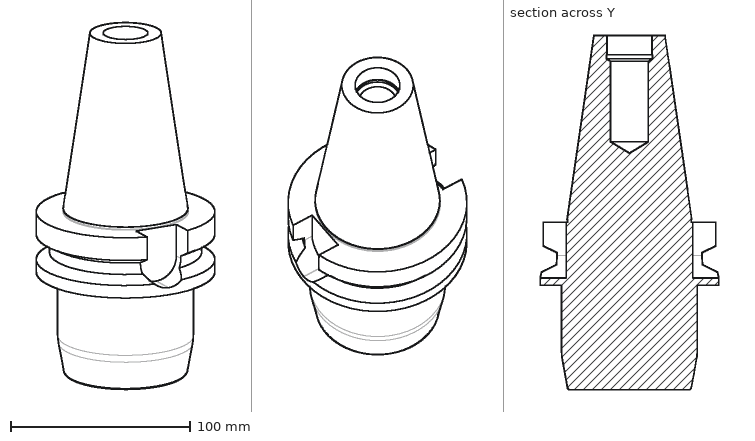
import cadquery as cq
import math

total_length = 197.8
flange_diameter = 99.9

body_diameter = 76.0
nose_diameter = 69.2
nose_chamfer = 0.8
nose_cone_end_z = 17.2
nose_cone_end_radius = 37.5
body_start_z = 21.4

flange_bottom_z = 58.4
lower_rim_top_z = 65.7
groove_floor_bottom_z = 69.8
groove_floor_top_z = 76.5
upper_rim_bottom_z = 80.3
flange_top_z = 93.5
groove_diameter = 85.0

neck_diameter = 69.5
neck_fillet = 0.4
taper_bottom_z = 95.1
taper_bottom_diameter = 69.8
taper_ratio = 7 / 24

slot_width = 25.7
slot_corner_radius = 12.75
slot_bottom_z = 62.5
slot_floor_x = 35.5

counterbore_diameter = 25.0
counterbore_depth = 10.9
undercut_diameter = 25.5
undercut_depth = 13.0
hole_diameter = 21.0
countersink_depth = 14.5
hole_depth = 59.3
drill_point_angle = 118


def make_body():
    """Revolved outer shape: nose, body, grooved flange and taper."""
    body_radius = body_diameter / 2
    nose_radius = nose_diameter / 2
    flange_radius = flange_diameter / 2
    groove_radius = groove_diameter / 2
    neck_radius = neck_diameter / 2
    taper_bottom_radius = taper_bottom_diameter / 2
    taper_length = total_length - taper_bottom_z
    taper_top_radius = taper_bottom_radius - taper_length * taper_ratio / 2
    profile = (
        cq.Workplane("XZ")
        .lineTo(nose_radius - nose_chamfer, 0)
        .lineTo(nose_radius, nose_chamfer)
        .lineTo(nose_cone_end_radius, nose_cone_end_z)
        .tangentArcPoint((body_radius, body_start_z), relative=False)
        .lineTo(body_radius, flange_bottom_z)
        .lineTo(flange_radius, flange_bottom_z)
        .lineTo(flange_radius, lower_rim_top_z)
        .lineTo(groove_radius, groove_floor_bottom_z)
        .lineTo(groove_radius, groove_floor_top_z)
        .lineTo(flange_radius, upper_rim_bottom_z)
        .lineTo(flange_radius, flange_top_z)
        .lineTo(neck_radius + neck_fillet, flange_top_z)
        .radiusArc((neck_radius, flange_top_z + neck_fillet), neck_fillet)
        .lineTo(neck_radius, taper_bottom_z)
        .lineTo(taper_bottom_radius, taper_bottom_z)
        .lineTo(taper_top_radius, total_length)
        .lineTo(0, total_length)
        .close()
    )
    return profile.revolve(360, (0, 0, 0), (0, 1, 0))


def make_drive_slot(side):
    """Cutter for one drive slot; side is -1 for -X and +1 for +X."""
    slot_depth = flange_diameter / 2 - slot_floor_x
    slot_height = flange_top_z - slot_bottom_z
    return (
        cq.Workplane("XY")
        .box(slot_depth, slot_width, slot_height, centered=(True, True, False))
        .edges("|X and <Z")
        .fillet(slot_corner_radius)
        .translate((side * (slot_floor_x + slot_depth / 2), 0, slot_bottom_z))
    )


def make_pull_stud_hole():
    """Revolved cutter: counterbore, undercut, countersink and hole with a drill point."""
    counterbore_radius = counterbore_diameter / 2
    undercut_radius = undercut_diameter / 2
    hole_radius = hole_diameter / 2
    point_depth = hole_radius / math.tan(math.radians(drill_point_angle / 2))
    hole_bottom_z = total_length - hole_depth
    profile = (
        cq.Workplane("XZ")
        .moveTo(0, total_length)
        .lineTo(counterbore_radius, total_length)
        .lineTo(counterbore_radius, total_length - counterbore_depth)
        .lineTo(undercut_radius, total_length - counterbore_depth)
        .lineTo(undercut_radius, total_length - undercut_depth)
        .lineTo(hole_radius, total_length - countersink_depth)
        .lineTo(hole_radius, hole_bottom_z)
        .lineTo(0, hole_bottom_z - point_depth)
        .close()
    )
    return profile.revolve(360, (0, 0, 0), (0, 1, 0))


result = make_body()
for side in (-1, 1):
    result = result.cut(make_drive_slot(side))
result = result.cut(make_pull_stud_hole())